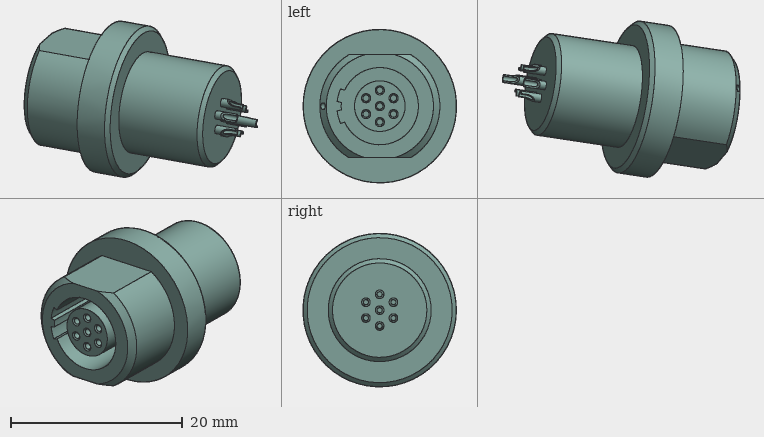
import cadquery as cq
import math


barrel_radius = 7.0
barrel_length = 8.0
barrel_chamfer = 0.75
flat_distance = 6.0
flange_radius = 8.95
flange_thickness = 4.0
rear_radius = 6.0
rear_length = 10.5
rear_edge_chamfer = 0.5
flange_end = barrel_length + flange_thickness
shell_end = flange_end + rear_length

socket_radius = 4.5
socket_depth = 8.0
insulator_radius = 2.95
insulator_recess = 0.4
keyway_outer_radius = 5.0
keyway_width = 1.5
keyway_angle = 15.0

mark_radius = 0.375
mark_depth = 0.8

contact_count = 6
first_contact_angle = 90.0
contact_circle_radius = 1.85
contact_hole_radius = 0.37
contact_hole_depth = 4.0
contact_mouth_radius = 0.53
contact_mouth_depth = 0.15

tail_radius = 0.5
tail_root = 0.5
outer_tail_length = 2.5
centre_tail_length = 4.5
cup_length = 1.75
cup_bore_radius = 0.3
cup_run_out_radius = 1.5

contact_angles = [first_contact_angle + i * 360 / contact_count for i in range(contact_count)]


def rod(radius, start, end):
    """Cylinder on the X axis between two X positions."""
    return cq.Workplane("YZ").workplane(offset=start).circle(radius).extrude(end - start)


def place_contact(shape, angle):
    """Move a shape from the axis to the contact circle, its +Y side turned outward."""
    return shape.translate((0, contact_circle_radius, 0)).rotate((0, 0, 0), (1, 0, 0), angle)


def make_shell():
    barrel = rod(barrel_radius, 0, barrel_length).faces("<X").chamfer(barrel_chamfer)
    flats = cq.Workplane("XY").box(
        barrel_length, 2 * barrel_radius, 2 * flat_distance, centered=(False, True, True)
    )
    flange = rod(flange_radius, barrel_length, flange_end).faces(">X").chamfer(rear_edge_chamfer)
    rear = rod(rear_radius, barrel_length, shell_end).faces(">X").chamfer(rear_edge_chamfer)
    return barrel.intersect(flats).union(flange).union(rear)


def make_socket():
    """Annular space around the insulator, with two keyways and the insulator recess."""
    keyway_envelope = rod(keyway_outer_radius, 0, socket_depth)
    cavity = rod(socket_radius, 0, socket_depth)
    for angle in (-keyway_angle, keyway_angle):
        slot = cq.Workplane("XY").box(
            socket_depth, keyway_outer_radius, keyway_width, centered=(False, False, True)
        )
        slot = slot.rotate((0, 0, 0), (1, 0, 0), angle)
        cavity = cavity.union(slot.intersect(keyway_envelope))
    return cavity.cut(rod(insulator_radius, insulator_recess, socket_depth))


def make_contact_hole():
    """Contact bore on the axis with a conical mouth."""
    bore_end = insulator_recess + contact_hole_depth
    mouth_end = insulator_recess + contact_mouth_depth
    profile = [
        (insulator_recess, 0),
        (insulator_recess, contact_mouth_radius),
        (mouth_end, contact_hole_radius),
        (bore_end, contact_hole_radius),
        (bore_end, 0),
    ]
    return cq.Workplane("XY").polyline(profile).close().revolve(360, (0, 0, 0), (1, 0, 0))


def make_tail(length):
    """Solder tail on the axis whose cup opens toward +Y."""
    tail_end = shell_end + length
    cup_start = tail_end - cup_length
    arc_height = cup_run_out_radius - tail_radius
    arc_run = math.sqrt(cup_run_out_radius**2 - arc_height**2)
    arc_centre_x = cup_start + arc_run
    half_sweep = math.acos(arc_height / cup_run_out_radius) / 2
    arc_middle = (
        arc_centre_x - cup_run_out_radius * math.sin(half_sweep),
        cup_run_out_radius * (1 - math.cos(half_sweep)),
    )
    opening = (
        cq.Workplane("XY")
        .moveTo(cup_start, tail_radius)
        .threePointArc(arc_middle, (arc_centre_x, 0))
        .lineTo(tail_end, 0)
        .lineTo(tail_end, tail_radius)
        .close()
        .extrude(tail_radius, both=True)
    )
    bore = rod(cup_bore_radius, cup_start, tail_end)
    return rod(tail_radius, shell_end - tail_root, tail_end).cut(opening).cut(bore)


def make_index_mark():
    middle = barrel_chamfer / 2
    inward = cq.Vector(1, -1, 0).normalized()
    on_chamfer = cq.Vector(middle, barrel_radius - middle, 0)
    start = on_chamfer - inward * mark_depth
    return cq.Workplane(cq.Solid.makeCylinder(mark_radius, 2 * mark_depth, start, inward))


result = make_shell().cut(make_socket()).cut(make_index_mark())

contact_hole = make_contact_hole()
outer_tail = make_tail(outer_tail_length)
result = result.cut(contact_hole).union(make_tail(centre_tail_length))
for contact_angle in contact_angles:
    result = result.cut(place_contact(contact_hole, contact_angle))
    result = result.union(place_contact(outer_tail, contact_angle))